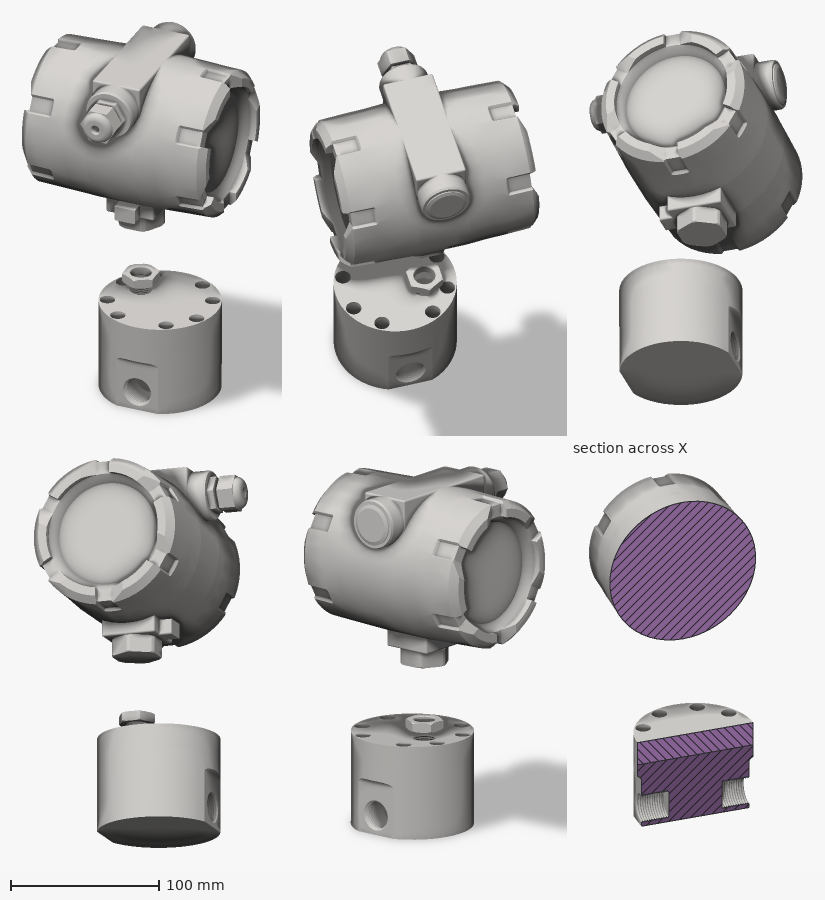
import cadquery as cq
import math


barrel_length = 135.0
barrel_radius = 52.5
barrel_height = 190.5
band_width = 34.7
cap_end_radius = 50.8
rim_depth = 4.9
bezel_radius = 40.0
window_radius = 35.0
window_depth = 11.2

notch_count = 6
notch_width = 10.0
notch_ramp_width = 10.0
notch_floor_radius = 48.5
notch_floor_length = 20.5
notch_wall_taper = 40

barrel_half = barrel_length / 2
band_half = band_width / 2
rim_x = barrel_half - rim_depth
cap_slope = math.degrees(math.atan2(barrel_radius - cap_end_radius, rim_x - band_half))

box_length = 85.0
box_fillet = 1.2
boss_diameter = 34.0
boss_end = 55.0
boss_chamfer_length = 1.7
boss_chamfer_inset = 0.7
boss_height = barrel_height + barrel_radius - boss_diameter / 2

plug_diameter = 28.2
plug_face_diameter = 23.3
plug_step = 0.7
plug_height = 1.7

small_hex_flats = 22.4
gland_flange_length = 4.4
gland_neck_length = 2.5
gland_neck_diameter = 12.0
gland_cap_length = 11.2
gland_dome_diameter = 21.9
gland_face_diameter = 13.0
gland_end = 77.3
gland_bore_diameter = 5.0
gland_bore_mouth = 7.0
gland_bore_depth = 3.6

block_length = 38.0
block_bottom = 130.2
block_fillet = 1.2
lug_width = 15.0
lug_reach = 27.7
lug_top = 140.7
mount_hex_flats = 30.5
mount_hex_round = 34.0
mount_hex_bottom = 118.0
mount_hex_chamfer = 0.7

nut_bottom = 71.5
nut_height = 6.5
nut_bore = 14.5
nut_bore_chamfer = 0.5
nut_chamfer_diameter = 23.3
nut_chamfer_height = 0.7

base_x = 18.0
base_y = -9.0
base_diameter = 83.0
base_height = 47.9
cover_height = 17.0
flat_offset = 38.6
flat_top = 35.0
flat_fillet = 3.6
port_height = 13.5
port_diameter = 19.0
port_thread_diameter = 21.0
port_depth = 19.5
bolt_hole_diameter = 10.5
bolt_circle_radius = 35.5
bolt_angles = [22.5, 60.0]
cover_port_diameter = 14.0
cover_port_thread_diameter = 15.8
cover_thread_depth = 9.7

thread_pitch = 1.7


def turned_on_boss_axis(profile):
    """Revolve a (radius, y) profile about the axis shared by the two bosses."""
    return profile.revolve(360, (0, 0, 0), (0, 1, 0)).translate((0, 0, boss_height))


def hexagon_across(flats):
    """Diameter of the circle through the corners of a hexagon."""
    return flats / math.cos(math.pi / 6)


def make_barrel():
    """Barrel turned about X, with the rim chamfers and the window recesses."""
    window_x = barrel_half - window_depth
    profile = (
        cq.Workplane("XY")
        .moveTo(-window_x, 0)
        .lineTo(-window_x, window_radius)
        .lineTo(-rim_x, bezel_radius)
        .lineTo(-barrel_half, bezel_radius)
        .lineTo(-barrel_half, cap_end_radius - rim_depth)
        .lineTo(-rim_x, cap_end_radius)
        .lineTo(-band_half, barrel_radius)
        .lineTo(band_half, barrel_radius)
        .lineTo(rim_x, cap_end_radius)
        .lineTo(barrel_half, cap_end_radius - rim_depth)
        .lineTo(barrel_half, bezel_radius)
        .lineTo(rim_x, bezel_radius)
        .lineTo(window_x, window_radius)
        .lineTo(window_x, 0)
        .close()
    )
    barrel = profile.revolve(360, (0, 0, 0), (1, 0, 0))
    return barrel.translate((0, 0, barrel_height))


def notch_cutter():
    """Cutter for the top notch of the -X end, with the barrel axis on the X axis."""
    half = notch_width / 2
    through = (
        cq.Workplane("XY", origin=(0, 0, window_radius))
        .moveTo(-rim_x, -half)
        .lineTo(-rim_x, half)
        .lineTo(-barrel_half, half + notch_ramp_width)
        .lineTo(-barrel_half, -half)
        .close()
        .extrude(barrel_radius - window_radius)
    )
    floor = (
        cq.Workplane("XY", origin=(-barrel_half, 0, notch_floor_radius))
        .rect(2 * notch_floor_length, notch_width)
        .extrude(barrel_radius - notch_floor_radius, taper=-notch_wall_taper)
    )
    rim_point = (-rim_x, 0, notch_floor_radius)
    floor = floor.rotate(rim_point, (-rim_x, 1, notch_floor_radius), -cap_slope)
    return through.union(floor)


def cut_notches(body):
    """Cut the ring of notches in both ends, the +X end mirroring the -X end."""
    left = notch_cutter()
    right = left.mirror("YZ")
    for i in range(notch_count):
        for cutter in (left, right):
            turned = cutter.rotate((0, 0, 0), (1, 0, 0), i * 360 / notch_count)
            body = body.cut(turned.translate((0, 0, barrel_height)))
    return body


def make_conduit_box():
    """Box across the barrel top and the two round entry bosses."""
    box = (
        cq.Workplane("XY", origin=(0, 0, barrel_height))
        .rect(band_width, box_length)
        .extrude(barrel_radius)
        .edges("|Z or >Z")
        .fillet(box_fillet)
    )
    boss_profile = (
        cq.Workplane("XY")
        .moveTo(0, box_length / 2 - box_fillet)
        .lineTo(boss_diameter / 2, box_length / 2 - box_fillet)
        .lineTo(boss_diameter / 2, boss_end - boss_chamfer_length)
        .lineTo(boss_diameter / 2 - boss_chamfer_inset, boss_end)
        .lineTo(0, boss_end)
        .close()
    )
    boss = turned_on_boss_axis(boss_profile)
    return box.union(boss).union(boss.mirror("XZ"))


def make_plug():
    """Blanking plug with a sloped rim on the +Y boss."""
    profile = (
        cq.Workplane("XY")
        .moveTo(0, boss_end - boss_chamfer_length)
        .lineTo(plug_diameter / 2, boss_end - boss_chamfer_length)
        .lineTo(plug_diameter / 2, boss_end + plug_step)
        .lineTo(plug_face_diameter / 2, boss_end + plug_height)
        .lineTo(0, boss_end + plug_height)
        .close()
    )
    return turned_on_boss_axis(profile)


def gland_hexagon(start, length):
    """Hexagon on the boss axis running from y = -start toward -Y."""
    return (
        cq.Workplane("XZ", origin=(0, -start, boss_height))
        .polygon(6, hexagon_across(small_hex_flats))
        .extrude(length)
    )


def make_gland():
    """Cable gland on the -Y boss: hexagon flange, neck, hexagon cap, dome and blind bore."""
    neck_start = boss_end + gland_flange_length
    cap_start = neck_start + gland_neck_length
    cap_end = cap_start + gland_cap_length
    dome_fillet = (gland_dome_diameter - gland_face_diameter) / 2
    neck = (
        cq.Workplane("XZ", origin=(0, -boss_end, boss_height))
        .circle(gland_neck_diameter / 2)
        .extrude(cap_end - boss_end)
    )
    dome = (
        cq.Workplane("XZ", origin=(0, -cap_start, boss_height))
        .circle(gland_dome_diameter / 2)
        .extrude(gland_end - cap_start)
        .faces("<Y")
        .edges()
        .fillet(dome_fillet)
    )
    mouth_chamfer = (gland_bore_mouth - gland_bore_diameter) / 2
    gland = (
        neck.union(gland_hexagon(boss_end, gland_flange_length))
        .union(gland_hexagon(cap_start, gland_cap_length))
        .union(dome)
    )
    bore = (
        cq.Workplane("XY")
        .moveTo(0, -gland_end)
        .lineTo(gland_bore_mouth / 2, -gland_end)
        .lineTo(gland_bore_diameter / 2, mouth_chamfer - gland_end)
        .lineTo(gland_bore_diameter / 2, gland_bore_depth - gland_end)
        .lineTo(0, gland_bore_depth - gland_end)
        .close()
    )
    return gland.cut(turned_on_boss_axis(bore))


def make_mount():
    """Block, earth lug and hexagon under the barrel."""
    block_height = barrel_height - barrel_radius / 2 - block_bottom
    block = (
        cq.Workplane("XY", origin=(0, 0, block_bottom))
        .rect(band_width, block_length)
        .extrude(block_height)
        .edges("|Z or <Z")
        .fillet(block_fillet)
    )
    lug = (
        cq.Workplane("XY", origin=(0, -lug_reach / 2, block_bottom))
        .rect(lug_width, lug_reach)
        .extrude(lug_top - block_bottom)
        .edges("<Z and |Y")
        .fillet(block_fillet)
    )
    hexagon = (
        cq.Workplane("XY", origin=(0, 0, mount_hex_bottom))
        .polygon(6, hexagon_across(mount_hex_flats))
        .extrude(block_bottom - mount_hex_bottom)
    )
    turned_blank = (
        cq.Workplane("XY", origin=(0, 0, mount_hex_bottom))
        .circle(mount_hex_round / 2)
        .extrude(block_bottom - mount_hex_bottom)
        .edges("<Z or >Z")
        .chamfer(mount_hex_chamfer)
    )
    return block.union(lug).union(hexagon.intersect(turned_blank))


def make_housing():
    """Transmitter housing with its caps, conduit entries and mounting hexagon."""
    body = cut_notches(make_barrel())
    for feature in (make_conduit_box(), make_plug(), make_gland(), make_mount()):
        body = body.union(feature)
    return body


def make_nut():
    """Loose hexagon nut with its corners chamfered top and bottom."""
    hexagon = (
        cq.Workplane("XY", origin=(0, 0, nut_bottom))
        .transformed(rotate=(0, 0, 30))
        .polygon(6, hexagon_across(small_hex_flats))
        .extrude(nut_height)
    )
    blank_radius = hexagon_across(small_hex_flats) / 2
    turned_blank = (
        cq.Workplane("XY", origin=(0, 0, nut_bottom))
        .circle(blank_radius)
        .extrude(nut_height)
        .edges()
        .chamfer(nut_chamfer_height, blank_radius - nut_chamfer_diameter / 2)
    )
    bore = (
        cq.Workplane("XY", origin=(0, 0, nut_bottom))
        .circle(nut_bore / 2)
        .extrude(nut_height)
    )
    nut = hexagon.intersect(turned_blank).cut(bore)
    return nut.edges(cq.selectors.RadiusNthSelector(0)).chamfer(nut_bore_chamfer)


def threaded_cutter(bore_diameter, thread_diameter, depth):
    """Bore from Z = 0 down to -depth, widened by a row of V grooves."""
    crest = bore_diameter / 2
    root = thread_diameter / 2
    profile = cq.Workplane("XZ").lineTo(root, 0)
    for i in range(math.floor(depth / thread_pitch)):
        groove_top = -i * thread_pitch
        profile = profile.lineTo(crest, groove_top - thread_pitch / 2)
        profile = profile.lineTo(root, groove_top - thread_pitch)
    profile = profile.lineTo(crest, -depth).lineTo(0, -depth).close()
    return profile.revolve(360, (0, 0, 0), (0, 1, 0))


def make_base():
    """Round base with two opposite flats, rounded out at their tops, and a threaded port in each."""
    radius = base_diameter / 2
    centre_y = -flat_offset - flat_fillet
    mid_offset = flat_fillet * math.cos(math.pi / 4)
    round_mid = (centre_y + mid_offset, flat_top + mid_offset)
    round_end = (centre_y, flat_top + flat_fillet)
    base = cq.Workplane("XY").circle(radius).extrude(base_height)
    flat_cutter = (
        cq.Workplane("YZ", origin=(-radius, 0, 0))
        .moveTo(-flat_offset, 0)
        .lineTo(-flat_offset, flat_top)
        .threePointArc(round_mid, round_end)
        .lineTo(centre_y, 0)
        .close()
        .extrude(base_diameter)
    )
    port = threaded_cutter(port_diameter, port_thread_diameter, port_depth)
    port = port.rotate((0, 0, 0), (1, 0, 0), 90).translate((0, -flat_offset, port_height))
    for cutter in (flat_cutter, port):
        base = base.cut(cutter).cut(cutter.mirror("XZ"))
    return base.translate((base_x, base_y, 0))


def make_cover():
    """Disc on the base with the bolt holes and the off-centre port under the nut."""
    bolt_points = []
    for angle in bolt_angles:
        x = bolt_circle_radius * math.cos(math.radians(angle))
        y = bolt_circle_radius * math.sin(math.radians(angle))
        bolt_points += [(x, y), (-x, y), (-x, -y), (x, -y)]
    cover_top = base_height + cover_height
    cover = (
        cq.Workplane("XY", origin=(base_x, base_y, base_height))
        .circle(base_diameter / 2)
        .pushPoints(bolt_points)
        .circle(bolt_hole_diameter / 2)
        .extrude(cover_height)
    )
    lower_bore = (
        cq.Workplane("XY", origin=(0, 0, base_height))
        .circle(cover_port_thread_diameter / 2)
        .extrude(cover_height - cover_thread_depth)
    )
    thread = threaded_cutter(cover_port_diameter, cover_port_thread_diameter, cover_thread_depth)
    return cover.cut(lower_bore).cut(thread.translate((0, 0, cover_top)))


housing = make_housing()
nut = make_nut()
base = make_base()
cover = make_cover()

result = cq.Compound.makeCompound(
    [housing.solids().val(), nut.solids().val(), base.solids().val(), cover.solids().val()]
)